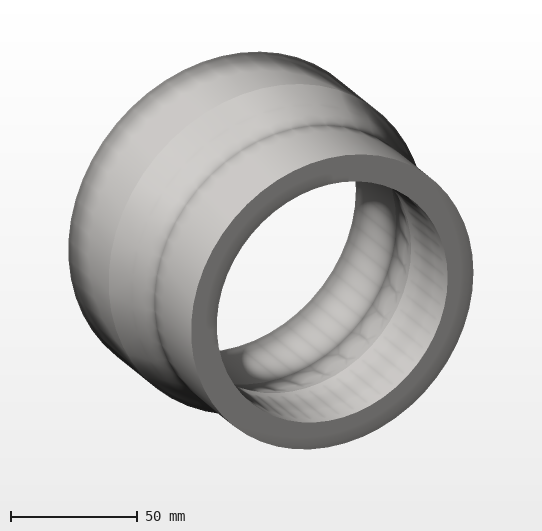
import cadquery as cq

total_length = 92.0
large_end_length = 35.0
taper_length = 25.2
large_outer_diameter = 140.0
large_bore_diameter = 114.7
small_outer_diameter = 125.0
small_bore_diameter = 102.2

taper_end = large_end_length + taper_length


def reducer_body(large_diameter, small_diameter):
    """Solid of revolution: large cylinder, cone, small cylinder."""
    large_radius = large_diameter / 2
    small_radius = small_diameter / 2
    return (
        cq.Workplane("XY")
        .moveTo(0, 0)
        .lineTo(0, large_radius)
        .lineTo(large_end_length, large_radius)
        .lineTo(taper_end, small_radius)
        .lineTo(total_length, small_radius)
        .lineTo(total_length, 0)
        .close()
        .revolve(360, (0, 0, 0), (1, 0, 0))
    )


outside = reducer_body(large_outer_diameter, small_outer_diameter)
bore = reducer_body(large_bore_diameter, small_bore_diameter)
result = outside.cut(bore)